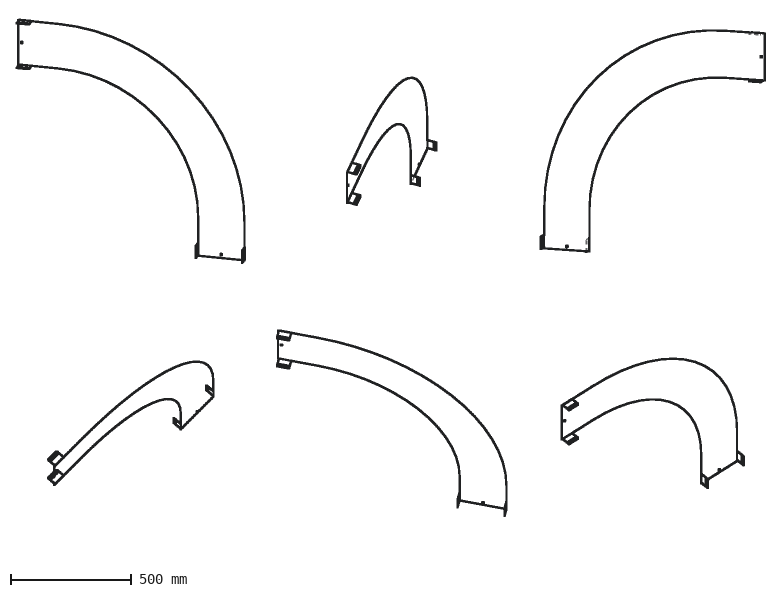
import cadquery as cq
import math

overall = 974.0
depth = 41.0
sheet = 1.0
outer_radius = 799.0
inner_radius = 600.0

tab_length = 53.0
tab_end_gap = 5.0
tab_corner_radius = 5.0

slot_length = 43.0
slot_width = 8.0
slot_end_gap = 7.0
slot_edge_gap = 5.0

hole_diameter = 6.3
hole_end_gap = 16.0

leg_length = overall - sheet - outer_radius
mid_radius = (outer_radius + inner_radius) / 2
diagonal = math.sqrt(0.5)


def make_plate():
    """Flat quarter bend with a straight leg at each end, its front face at Y = 0."""
    return (
        cq.Workplane("XZ")
        .moveTo(-leg_length, inner_radius)
        .lineTo(-leg_length, outer_radius)
        .lineTo(0, outer_radius)
        .threePointArc((outer_radius * diagonal, outer_radius * diagonal), (outer_radius, 0))
        .lineTo(outer_radius, -leg_length)
        .lineTo(inner_radius, -leg_length)
        .lineTo(inner_radius, 0)
        .threePointArc((inner_radius * diagonal, inner_radius * diagonal), (0, inner_radius))
        .close()
        .extrude(-sheet)
    )


def make_tab(bottom):
    """Slotted tab on the -X leg, reaching from the back of the plate to the front."""
    tab_start = -leg_length + tab_end_gap
    free_edge = sheet - depth
    slot_x = -leg_length + slot_end_gap + slot_length / 2
    slot_y = free_edge + slot_edge_gap + slot_width / 2
    tab = (
        cq.Workplane("XY", origin=(0, 0, bottom))
        .moveTo(tab_start, free_edge)
        .rect(tab_length, depth, centered=False)
        .extrude(sheet)
        .edges("|Z and <Y")
        .edges(">X")
        .fillet(tab_corner_radius)
    )
    slot = (
        cq.Workplane("XY", origin=(0, 0, bottom))
        .center(slot_x, slot_y)
        .slot2D(slot_length, slot_width)
        .extrude(sheet)
    )
    return tab.cut(slot)


def make_hole():
    """Cutter for the hole on the centre line of the -X leg."""
    return (
        cq.Workplane("XZ")
        .center(-leg_length + hole_end_gap, mid_radius)
        .circle(hole_diameter / 2)
        .extrude(-sheet)
    )


def on_other_leg(shape):
    """Copy a feature of the -X leg onto the -Z leg by mirroring across the plane X = Z."""
    return shape.mirror("XY").rotate((0, 0, 0), (0, 1, 0), -90)


leg_tabs = [make_tab(outer_radius), make_tab(inner_radius)]
leg_hole = make_hole()

result = make_plate()
for tab in leg_tabs:
    result = result.union(tab).union(on_other_leg(tab))
result = result.cut(leg_hole).cut(on_other_leg(leg_hole))